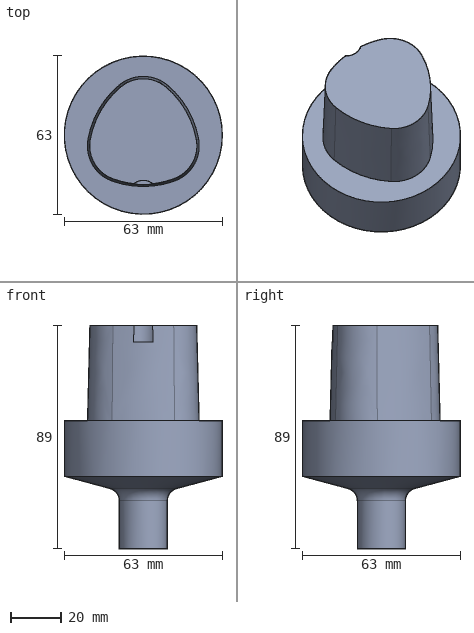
import cadquery as cq
import math

stem_radius = 19.2 / 2
flange_radius = 63.0 / 2
stem_height = 19.2
fillet_radius = 5.0
cone_angle = math.radians(15)
shoulder_height = 51.1

total_height = 89.0
shank_height = total_height - shoulder_height
lobe_reach = 23.4
side_reach = 20.5
lobe_center_distance = 8.45
taper_per_side = 1 / 40
lobe_count = 3

notch_radius = 5.8
notch_depth = 6.6
notch_inner_distance = 18.0


def make_body():
    """Revolve the stem and flange, with a fillet tangent to the stem and to the cone."""
    arc_turn = math.pi / 2 - cone_angle
    arc_center_x = stem_radius + fillet_radius

    def arc_point(angle):
        return (
            arc_center_x - fillet_radius * math.cos(angle),
            stem_height + fillet_radius * math.sin(angle),
        )

    cone_inner_radius, cone_bottom = arc_point(arc_turn)
    cone_top = cone_bottom + (flange_radius - cone_inner_radius) * math.tan(cone_angle)
    return (
        cq.Workplane("XZ")
        .lineTo(stem_radius, 0)
        .lineTo(stem_radius, stem_height)
        .threePointArc(arc_point(arc_turn / 2), (cone_inner_radius, cone_bottom))
        .lineTo(flange_radius, cone_top)
        .lineTo(flange_radius, shoulder_height)
        .lineTo(0, shoulder_height)
        .close()
        .revolve(360, (0, 0, 0), (0, 1, 0))
    )


def polar_point(distance, angle):
    """Point at a distance from the axis, in the direction of an angle from +X."""
    return (distance * math.cos(angle), distance * math.sin(angle))


def draw_outline(plane, inset):
    """Draw tangent lobe and side arcs, moved inward by the inset, with one lobe toward +Y."""
    half_pitch = math.pi / lobe_count
    lobe_radius = lobe_reach - lobe_center_distance

    reach_difference = side_reach - lobe_radius
    center_along_side = lobe_center_distance * math.cos(half_pitch)
    side_center_distance = (lobe_center_distance**2 - reach_difference**2) / (
        2 * (reach_difference - center_along_side)
    )
    side_radius = side_reach + side_center_distance
    side_half_angle = math.atan2(
        lobe_center_distance * math.sin(half_pitch),
        side_center_distance + center_along_side,
    )

    joint_radius = side_radius - inset
    joint_along_side = joint_radius * math.cos(side_half_angle) - side_center_distance
    joint_across_side = joint_radius * math.sin(side_half_angle)
    joint_distance = math.hypot(joint_along_side, joint_across_side)
    joint_angle = math.atan2(joint_across_side, joint_along_side)

    outline = plane.moveTo(*polar_point(joint_distance, math.pi / 2 - half_pitch + joint_angle))
    for index in range(lobe_count):
        lobe_angle = math.pi / 2 + 2 * half_pitch * index
        side_angle = lobe_angle + half_pitch
        outline = outline.threePointArc(
            polar_point(lobe_reach - inset, lobe_angle),
            polar_point(joint_distance, side_angle - joint_angle),
        ).threePointArc(
            polar_point(side_reach - inset, side_angle),
            polar_point(joint_distance, side_angle + joint_angle),
        )
    return outline.close()


def make_shank():
    """Loft the lobed outline from the flange to its slightly smaller top."""
    base = draw_outline(cq.Workplane("XY", origin=(0, 0, shoulder_height)), 0)
    top_plane = base.workplane(offset=shank_height)
    return draw_outline(top_plane, taper_per_side * shank_height).loft(ruled=True)


def make_notch():
    """Vertical cylinder that cuts the notch on the -Y side."""
    return (
        cq.Workplane("XY", origin=(0, 0, total_height - notch_depth))
        .center(0, -(notch_inner_distance + notch_radius))
        .circle(notch_radius)
        .extrude(notch_depth)
    )


result = make_body().union(make_shank()).cut(make_notch())